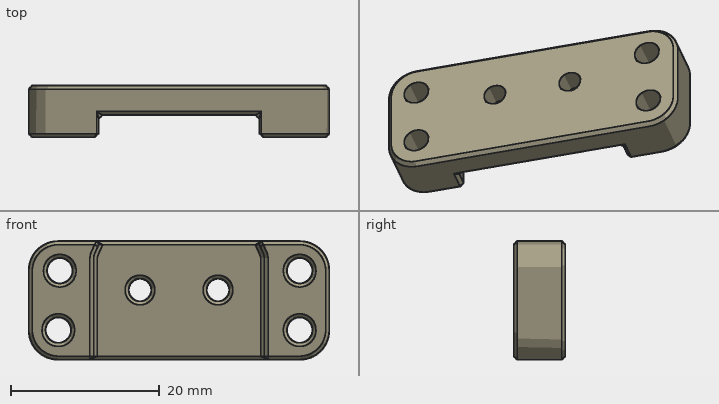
import cadquery as cq
import math

LENGTH = 40.5
DEPTH = 7.0
HEIGHT = 16.0
CORNER_RADIUS = 4.0
CHAMFER = 0.5

CHANNEL_WIDTH = 22.98
CHANNEL_DEPTH = 3.0
TAPER_HEIGHT = 2.0
TAPER_ANGLE = 24.0
BEND_RADIUS = 1.5

END_HOLE_DIAMETER = 3.4
END_HOLE_X = 16.25
END_HOLE_Z = 4.0
UPPER_LEFT_HOLE_SHIFT = 0.2
END_HOLES = [
    (-END_HOLE_X + UPPER_LEFT_HOLE_SHIFT, END_HOLE_Z),
    (-END_HOLE_X, -END_HOLE_Z),
    (END_HOLE_X, END_HOLE_Z),
    (END_HOLE_X, -END_HOLE_Z),
]

FLOOR_HOLE_DIAMETER = 3.0
FLOOR_HOLE_X = 5.25
FLOOR_HOLE_Z = 1.4
FLOOR_HOLES = [(-FLOOR_HOLE_X, FLOOR_HOLE_Z), (FLOOR_HOLE_X, FLOOR_HOLE_Z)]

CHANNEL_HALF_WIDTH = CHANNEL_WIDTH / 2
TAPER_SLOPE = math.tan(math.radians(TAPER_ANGLE))
FRONT_Y = -DEPTH / 2
FLOOR_Y = FRONT_Y + CHANNEL_DEPTH
TOP_Z = HEIGHT / 2
TOLERANCE = 0.01


def plane_at(y):
    """XZ sketch plane at the given Y, with its normal toward -Y."""
    return cq.Plane(origin=(0, y, 0), xDir=(1, 0, 0), normal=(0, -1, 0))


def rounded_block():
    return cq.Workplane("XY").box(LENGTH, DEPTH, HEIGHT).edges("|Y").fillet(CORNER_RADIUS)


def wall_x(z):
    """Distance of a channel side wall from the YZ plane at height z."""
    return CHANNEL_HALF_WIDTH - max(0, z - TOP_Z + TAPER_HEIGHT) * TAPER_SLOPE


def channel():
    """Cutter for the channel; its side walls lean inward above the bend."""
    half_width = CHANNEL_HALF_WIDTH
    half_top_width = wall_x(TOP_Z)
    bend_z = TOP_Z - TAPER_HEIGHT
    cutter = (
        cq.Workplane(plane_at(FRONT_Y))
        .moveTo(-half_width, -TOP_Z)
        .lineTo(half_width, -TOP_Z)
        .lineTo(half_width, bend_z)
        .lineTo(half_top_width, TOP_Z)
        .lineTo(-half_top_width, TOP_Z)
        .lineTo(-half_width, bend_z)
        .close()
        .extrude(-CHANNEL_DEPTH)
    )
    bend_box = cq.selectors.BoxSelector(
        (-LENGTH, -DEPTH, bend_z - TOLERANCE), (LENGTH, DEPTH, bend_z + TOLERANCE)
    )
    return cutter.edges("|Y").edges(bend_box).fillet(BEND_RADIUS)


def slab(half_width, near_y, far_y):
    """Selector for a full-height region centred on X, between two Y values."""
    return cq.selectors.BoxSelector(
        (-half_width, near_y - TOLERANCE, -HEIGHT), (half_width, far_y + TOLERANCE, HEIGHT)
    )


def chamfer_rims(body):
    """Chamfer the front and back rims and the channel's upper and lower ends."""
    front_rims = body.faces("<Y").edges()
    back_rim = body.faces(">Y").edges()
    floor_ends = body.edges("|X").edges(slab(LENGTH, FLOOR_Y, FLOOR_Y))
    wall_ends = body.edges("|Y").edges(slab(CHANNEL_HALF_WIDTH + TOLERANCE, FRONT_Y, FLOOR_Y)).edges("<Z or >Z")
    return front_rims.add(back_rim).add(floor_ends).add(wall_ends).chamfer(CHAMFER)


def tetrahedron(a, b, c, d):
    """Solid with the four given corner points."""
    triangles = [(a, b, c), (a, b, d), (a, c, d), (b, c, d)]
    faces = [cq.Face.makeFromWires(cq.Wire.makePolygon(points, close=True)) for points in triangles]
    return cq.Solid.makeSolid(cq.Shell.makeShell(faces))


def corner_tip(side, end):
    """Pointed end of an inner corner strip, running out at the rim corner.

    side is -1 or 1 for left or right, end is -1 or 1 for bottom or top.
    """
    base_z = end * (TOP_Z - CHAMFER)
    base_x = wall_x(base_z)
    return tetrahedron(
        cq.Vector(side * (wall_x(end * TOP_Z) + CHAMFER), FLOOR_Y + CHAMFER, end * TOP_Z),
        cq.Vector(side * (base_x - CHAMFER), FLOOR_Y, base_z),
        cq.Vector(side * base_x, FLOOR_Y - CHAMFER, base_z),
        cq.Vector(side * (base_x + CHAMFER), FLOOR_Y + CHAMFER, base_z),
    )


def fill_inner_corners(body):
    """Bevel the corners where the channel walls meet its floor."""
    sharp = channel()
    beveled = sharp.faces(">Y").edges("not |X").chamfer(CHAMFER)
    between_rims = cq.Workplane("XY").box(LENGTH, DEPTH, HEIGHT - 2 * CHAMFER)
    body = body.union(sharp.cut(beveled).intersect(between_rims))
    for side in (-1, 1):
        for end in (-1, 1):
            body = body.union(cq.Workplane(corner_tip(side, end)))
    return body


def drill(body, positions, floor_y, diameter):
    """Through holes along Y, countersunk where they open at floor_y."""
    for x, z in positions:
        radius = diameter / 2
        start = cq.Vector(x, floor_y, z)
        toward_back = cq.Vector(0, 1, 0)
        bore = cq.Solid.makeCylinder(radius, DEPTH, start, toward_back)
        mouth = cq.Solid.makeCone(radius + CHAMFER, radius, CHAMFER, start, toward_back)
        body = body.cut(bore).cut(mouth)
    return body


body = rounded_block().cut(channel())
body = chamfer_rims(body)
body = fill_inner_corners(body)
body = drill(body, END_HOLES, FRONT_Y, END_HOLE_DIAMETER)
result = drill(body, FLOOR_HOLES, FLOOR_Y, FLOOR_HOLE_DIAMETER)